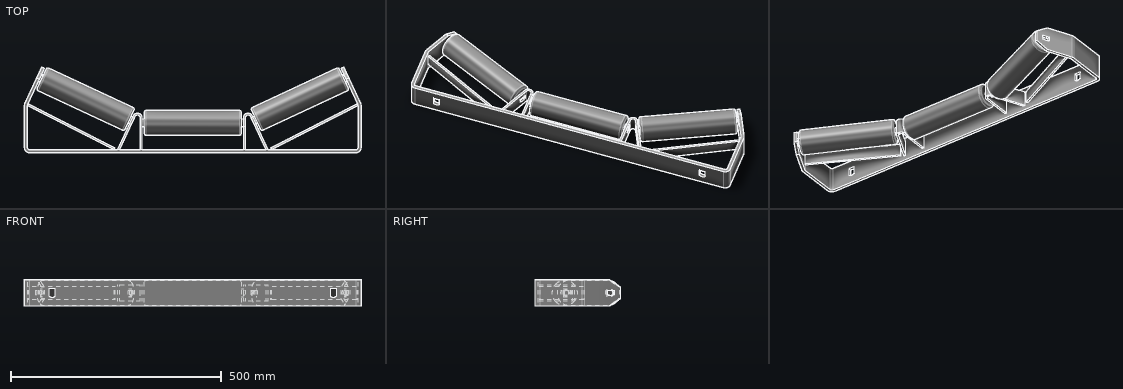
import cadquery as cq
import math

overall_length = 800.0
overall_depth = 204.0
strip_height = 62.0
mid_height = strip_height / 2
frame_thickness = 7.6
bend_radius = 13.0
arm_bend_y = 115.0
tilt = 25.0
arm_chamfer_along = 29.0
arm_chamfer_across = 18.0
mount_slot_x = 334.0
mount_slot_width = 14.0
mount_slot_height = 22.0
mount_slot_sag = 3.0

barrel_length = 230.0
middle_span = 240.0
roller_diameter = 60.0
roller_edge_radius = 5.0
stub_diameter = 19.0
shaft_slot_width = 18.0
shaft_slot_height = 12.0
shaft_slot_sag = 2.0
middle_roller_y = 71.0
outer_roller_from_bend = 73.0

thin_thickness = 5.0
bracket_radius = 11.0
bracket_top_y = 94.0
bracket_height = 38.0
brace_slope = 27.0
brace_height = 30.0
brace_foot_x = 187.0

fold_x = -middle_span / 2 - bracket_radius
fold_y = bracket_top_y - bracket_radius
tilt_sin = math.sin(math.radians(tilt))
tilt_cos = math.cos(math.radians(tilt))
half_length = overall_length / 2


def arm_point(along, inward):
    """Point on the left arm: distance up its outer face, and distance in from that face."""
    return (
        -half_length + along * tilt_sin + inward * tilt_cos,
        arm_bend_y + along * tilt_cos - inward * tilt_sin,
    )


def mirrored(body):
    return body.mirror("YZ")


def tilted_plane(along, inward):
    """Plane facing along the left outer roller, with its X direction up the arm."""
    x, y = arm_point(along, inward)
    return cq.Plane(origin=(x, y, mid_height), xDir=(tilt_sin, tilt_cos, 0), normal=(tilt_cos, -tilt_sin, 0))


middle_plane = cq.Plane(
    origin=(-middle_span / 2, middle_roller_y, mid_height),
    xDir=(0, 1, 0),
    normal=(1, 0, 0),
)
outer_plane = tilted_plane(outer_roller_from_bend, frame_thickness)

arm_length = (overall_depth - arm_bend_y) / tilt_cos

fold_from_arm = (fold_x + half_length) * tilt_cos - (fold_y - arm_bend_y) * tilt_sin
outer_span = fold_from_arm - bracket_radius - frame_thickness


def make_slot(plane, width, height, sag, depth):
    """Slot centred on the plane, with a flat upper end and a shallow arc as its lower end."""
    top = height / 2
    bottom = -height / 2
    side_end = bottom + sag
    return (
        cq.Workplane(plane)
        .moveTo(-width / 2, side_end)
        .lineTo(-width / 2, top)
        .lineTo(width / 2, top)
        .lineTo(width / 2, side_end)
        .threePointArc((0, bottom), (-width / 2, side_end))
        .close()
        .extrude(depth)
    )


def make_shaft_slot(plane, depth):
    return make_slot(plane, shaft_slot_width, shaft_slot_height, shaft_slot_sag, depth)


def make_arm_chamfers():
    """Corner pieces to remove from the tip of the left arm."""
    tip = tilted_plane(arm_length, 0)
    corners = cq.Workplane(tip)
    for side in (-1, 1):
        corners = corners.polyline([
            (0, side * mid_height),
            (-arm_chamfer_along, side * mid_height),
            (0, side * (mid_height - arm_chamfer_across)),
        ]).close()
    return corners.extrude(frame_thickness)


def make_frame():
    inner_bend_y = arm_bend_y - frame_thickness * math.tan(math.radians(tilt / 2))
    inner_corner = (-half_length + frame_thickness, frame_thickness)
    inner_bend = (-half_length + frame_thickness, inner_bend_y)
    inner_tip = arm_point(arm_length, frame_thickness)
    outer_tip = arm_point(arm_length, 0)
    outer_bend = (-half_length, arm_bend_y)
    outer_corner = (-half_length, 0)

    left_side = [inner_corner, inner_bend, inner_tip, outer_tip, outer_bend, outer_corner]
    right_side = [(-x, y) for x, y in reversed(left_side)]
    frame = cq.Workplane("XY").polyline(left_side + right_side).close().extrude(strip_height)

    inner_radius = bend_radius - frame_thickness
    for (x, y), radius in (
        (outer_corner, bend_radius),
        (outer_bend, bend_radius),
        (inner_corner, inner_radius),
        (inner_bend, inner_radius),
    ):
        for corner_x in (x, -x):
            bend_edge = cq.selectors.NearestToPointSelector((corner_x, y, mid_height))
            frame = frame.edges("|Z").edges(bend_edge).fillet(radius)

    arm_cuts = make_arm_chamfers().union(make_shaft_slot(outer_plane, -frame_thickness))
    mount_plane = cq.Plane(origin=(-mount_slot_x, 0, mid_height), xDir=(1, 0, 0), normal=(0, -1, 0))
    left_cuts = arm_cuts.union(
        make_slot(mount_plane, mount_slot_width, mount_slot_height, mount_slot_sag, -frame_thickness)
    )
    return frame.cut(left_cuts).cut(mirrored(left_cuts))


def make_left_bracket():
    """Folded strip: upright leg beside the middle roller, leaning leg beside the outer one."""
    inner_radius = bracket_radius - thin_thickness

    def lean_end(radius):
        return (fold_x - radius * tilt_cos, fold_y + radius * tilt_sin)

    def lean_foot(radius):
        x, y = lean_end(radius)
        return (x - (y - frame_thickness) * tilt_sin / tilt_cos, frame_thickness)

    bracket = (
        cq.Workplane("XY", origin=(0, 0, mid_height))
        .moveTo(fold_x + bracket_radius, frame_thickness)
        .lineTo(fold_x + bracket_radius, fold_y)
        .threePointArc((fold_x, fold_y + bracket_radius), lean_end(bracket_radius))
        .lineTo(*lean_foot(bracket_radius))
        .lineTo(*lean_foot(inner_radius))
        .lineTo(*lean_end(inner_radius))
        .threePointArc((fold_x, fold_y + inner_radius), (fold_x + inner_radius, fold_y))
        .lineTo(fold_x + inner_radius, frame_thickness)
        .close()
        .extrude(bracket_height / 2, both=True)
    )
    outer_slot = make_shaft_slot(
        tilted_plane(outer_roller_from_bend, frame_thickness + outer_span), thin_thickness
    )
    return bracket.cut(make_shaft_slot(middle_plane, -thin_thickness)).cut(outer_slot)


def make_roller(plane, span):
    """Barrel with a stub at each end; the plane sits on the face of the first support."""
    barrel = (
        cq.Workplane(plane)
        .workplane(offset=(span - barrel_length) / 2)
        .circle(roller_diameter / 2)
        .extrude(barrel_length)
        .edges()
        .fillet(roller_edge_radius)
    )
    stubs = cq.Workplane(plane).circle(stub_diameter / 2).extrude(span)
    return barrel.union(stubs)


def make_left_brace():
    """Flat strip resting against the upright and the long side of the frame."""
    slope = math.radians(brace_slope)
    run = half_length - frame_thickness - brace_foot_x
    length = run / math.cos(slope)
    lower_edge = cq.Plane(
        origin=(-brace_foot_x, frame_thickness, mid_height),
        xDir=(-math.cos(slope), math.sin(slope), 0),
        normal=(0, 0, 1),
    )
    return (
        cq.Workplane(lower_edge)
        .rect(length, -thin_thickness, centered=False)
        .extrude(brace_height / 2, both=True)
    )


frame = make_frame()
left_bracket = make_left_bracket()
left_brace = make_left_brace()
outer_roller = make_roller(outer_plane, outer_span)
bodies = [frame, make_roller(middle_plane, middle_span)]
for left_body in (left_bracket, left_brace, outer_roller):
    bodies += [left_body, mirrored(left_body)]
result = cq.Compound.makeCompound([body.val() for body in bodies])